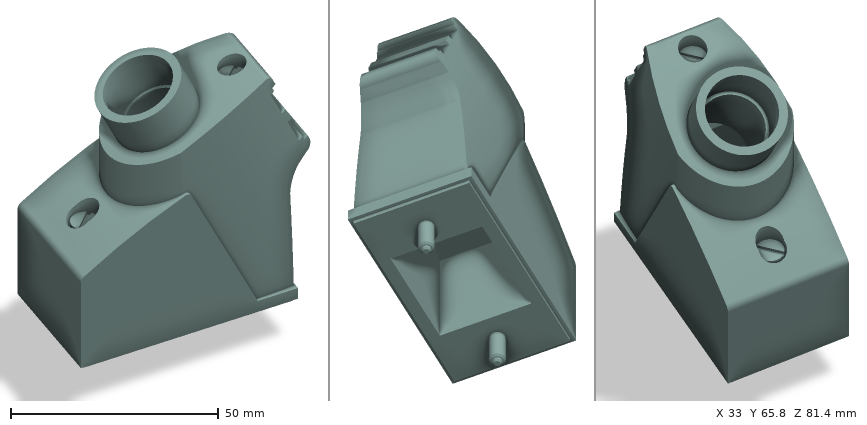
import math

import cadquery as cq

width = 33.0
foot_depth = 59.1
foot_height = 3.25
clear_height = 77.3
tilt = 25.0
tilt_sin = math.sin(math.radians(tilt))
tilt_cos = math.cos(math.radians(tilt))

front_height = 27.1
deck_radius = 159.6
step_foot_y = 48.1
step_top_z = 43.0
step_top_y = step_foot_y - (step_top_z - foot_height) * math.tan(math.radians(tilt))
front_edge_fillet = 2.0
step_top_fillet = 1.3

boss_radius = 16.0
boss_front_y = 15.55
boss_front_z = 48.8
boss_center_y = boss_front_y + boss_radius
roof_radius = 153.9
roof_end = (53.3, 64.55)
roof_edge_mid = (54.7, 64.5)
back_wall_y = 58.6
side_half_width = 15.6
side_radius = 93.6
side_reach = 40.7
prism_half_length = 97.7

face_top = (54.6, 59.75)
face_length = 18.2
rib_start = 7.3
rib_end = 10.9
inner_lip = 1.3
inner_lip_length = 1.2
outer_lip = 2.5
upper_lip_length = 3.4
lower_lip_length = 2.45
lip_nose = (65.7, 40.4)
lip_underside = (64.2, 38.9)
flare_start = (61.7, 37.05)
flare_mid = (59.7, 34.0)
flare_end_z = 30.1

outlet_top = (24.1, 66.4)
outlet_diameter = 22.6
outlet_length = 24.4
outlet_bore = 18.2
outlet_bore_depth = 12.2
inner_bore = 16.6
inner_bore_depth = 33.4

cavity_front_y = 16.3
cavity_back_y = 44.0
cavity_width = 24.4

plate_width = 30.9
plate_thickness = 1.0
plate_front_y = 1.3
plate_back_y = 58.1

screw_head_diameter = 7.1
screw_slot_width = 1.1
screw_slot_depth = 0.8
screw_slot_angle = -45.0
shank_diameter = 4.1
front_screw_y = 9.6
front_head_z = 30.3
front_tip_z = -10.2
back_screw_y = 49.7
back_head_z = 60.5
back_tip_z = -9.9
collar_diameter = 3.0
neck_diameter = 2.45
tip_diameter = 1.6
tip_stage = 0.5

relief_front_y = 5.1
relief_depth = 2.6
relief_rise = 6.5


def extrude_profile(wire, total_width):
    """Extrude a closed Y-Z outline symmetrically about X = 0."""
    return wire.close().extrude(total_width / 2, both=True)


def cylinder(center_y, bottom_z, top_z, diameter):
    """Upright cylinder on the X = 0 plane."""
    return (
        cq.Workplane("XY", origin=(0, center_y, bottom_z))
        .circle(diameter / 2)
        .extrude(top_z - bottom_z)
    )


def face_point(along, outward):
    """Y-Z point of the mating face: distance down the face and distance out of it."""
    y = face_top[0] + along * tilt_sin + outward * tilt_cos
    z = face_top[1] - along * tilt_cos + outward * tilt_sin
    return (y, z)


def tilted_cylinder(top, diameter, length):
    """Cylinder running down and back from a Y-Z point along the tilted axis."""
    plane = cq.Plane(
        origin=(0, top[0], top[1]), xDir=(1, 0, 0), normal=(0, tilt_sin, -tilt_cos)
    )
    return cq.Workplane(plane).circle(diameter / 2).extrude(length)


def make_lower_block():
    foot = extrude_profile(
        cq.Workplane("YZ").lineTo(foot_depth, 0).lineTo(foot_depth, foot_height)
        .lineTo(0, foot_height),
        width,
    )
    block = extrude_profile(
        cq.Workplane("YZ").lineTo(0, front_height)
        .radiusArc((step_top_y, step_top_z), deck_radius)
        .lineTo(step_foot_y, foot_height).lineTo(step_foot_y, 0),
        width,
    )
    front_edge = cq.selectors.NearestToPointSelector((0, 0, front_height))
    step_edge = cq.selectors.NearestToPointSelector((0, step_top_y, step_top_z))
    block = block.edges(front_edge).fillet(front_edge_fillet)
    block = block.edges(step_edge).fillet(step_top_fillet)
    return block.union(foot)


def make_upper_profile():
    lower_lip_end = face_length + lower_lip_length
    outline = (
        cq.Workplane("YZ").moveTo(boss_front_y, 0).lineTo(boss_front_y, boss_front_z)
        .radiusArc(roof_end, roof_radius)
        .threePointArc(roof_edge_mid, face_point(-upper_lip_length, outer_lip))
    )
    steps = [
        (-inner_lip_length, outer_lip), (-inner_lip_length, inner_lip),
        (0, inner_lip), (0, 0),
        (rib_start, 0), (rib_start, inner_lip), (rib_end, inner_lip), (rib_end, 0),
        (face_length, 0), (face_length, inner_lip),
        (face_length + inner_lip_length, inner_lip),
        (face_length + inner_lip_length, outer_lip),
        (lower_lip_end, outer_lip),
    ]
    for along, outward in steps:
        outline = outline.lineTo(*face_point(along, outward))
    outline = (
        outline.threePointArc(lip_nose, lip_underside).lineTo(*flare_start)
        .threePointArc(flare_mid, (back_wall_y, flare_end_z))
        .lineTo(back_wall_y, 0)
    )
    return extrude_profile(outline, width)


def make_side_prism():
    """Tilted prism whose sides start parallel at the step and curve inwards behind it."""
    inset = side_radius - math.sqrt(side_radius**2 - side_reach**2)
    back_half_width = side_half_width - inset
    plane = cq.Plane(
        origin=(0, step_foot_y, foot_height),
        xDir=(1, 0, 0),
        normal=(0, tilt_sin, -tilt_cos),
    )
    return (
        cq.Workplane(plane).moveTo(side_half_width, side_reach).lineTo(side_half_width, 0)
        .radiusArc((back_half_width, -side_reach), side_radius)
        .lineTo(-back_half_width, -side_reach)
        .radiusArc((-side_half_width, 0), side_radius)
        .lineTo(-side_half_width, side_reach).close()
        .extrude(prism_half_length, both=True)
    )


def make_upper_body():
    boss = cylinder(boss_center_y, 0, clear_height, 2 * boss_radius)
    rear = cq.Workplane("XY").box(width, foot_depth, clear_height, centered=(True, False, False))
    plan = boss.union(rear.translate((0, boss_center_y, 0)))
    return make_upper_profile().intersect(make_side_prism()).intersect(plan)


def make_cavity():
    """Pocket from below with a tilted roof that meets the end of the outlet bore."""
    bore_end_y = outlet_top[0] + inner_bore_depth * tilt_sin
    bore_end_z = outlet_top[1] - inner_bore_depth * tilt_cos

    def roof_z(y):
        return bore_end_z + (y - bore_end_y) * math.tan(math.radians(tilt))

    return extrude_profile(
        cq.Workplane("YZ").moveTo(cavity_front_y, -plate_thickness)
        .lineTo(cavity_back_y, -plate_thickness)
        .lineTo(cavity_back_y, roof_z(cavity_back_y))
        .lineTo(cavity_front_y, roof_z(cavity_front_y)),
        cavity_width,
    )


def make_screw_tip(center_y, tip_z):
    """Shank below the floor, ending in a chamfer, a neck and a small cone."""
    shoulder_z = tip_z + 3 * tip_stage
    half_profile = (
        cq.Workplane("XZ", origin=(0, center_y, 0))
        .lineTo(shank_diameter / 2, 0)
        .lineTo(shank_diameter / 2, shoulder_z)
        .lineTo(collar_diameter / 2, shoulder_z - tip_stage)
        .lineTo(neck_diameter / 2, shoulder_z - tip_stage)
        .lineTo(neck_diameter / 2, tip_z + tip_stage)
        .lineTo(tip_diameter / 2, tip_z)
        .lineTo(0, tip_z).close()
    )
    return half_profile.revolve(360, (0, 0, 0), (0, 1, 0))


def make_screw_access(center_y, head_z):
    """Round hole down to the screw head, plus the slot in the head."""
    hole = cylinder(center_y, head_z, clear_height, screw_head_diameter)
    slot = (
        cq.Workplane("XY", origin=(0, center_y, head_z))
        .transformed(rotate=(0, 0, screw_slot_angle))
        .rect(screw_head_diameter, screw_slot_width)
        .extrude(-screw_slot_depth)
        .intersect(cylinder(center_y, 0, head_z, screw_head_diameter))
    )
    return hole.union(slot)


def make_relief():
    """Crescent gap in front of the front screw head, cut along the tilted axis."""
    axis_y = relief_front_y + screw_head_diameter / 2 / tilt_cos
    start = (axis_y - relief_rise * tilt_sin, front_head_z + relief_rise * tilt_cos)
    tilted = tilted_cylinder(start, screw_head_diameter, relief_rise + relief_depth)
    front_half = (
        cq.Workplane("XY").box(width, front_screw_y, clear_height, centered=(True, False, False))
    )
    head = cylinder(front_screw_y, 0, front_head_z, screw_head_diameter)
    return tilted.intersect(front_half).cut(head)


plate = cq.Workplane("XY").box(
    plate_width, plate_back_y - plate_front_y, plate_thickness, centered=(True, False, False)
).translate((0, plate_front_y, -plate_thickness))

screws = [
    (front_screw_y, front_head_z, front_tip_z),
    (back_screw_y, back_head_z, back_tip_z),
]

result = make_lower_block().union(make_upper_body()).union(plate)
result = result.union(tilted_cylinder(outlet_top, outlet_diameter, outlet_length))
result = result.cut(tilted_cylinder(outlet_top, outlet_bore, outlet_bore_depth))
result = result.cut(tilted_cylinder(outlet_top, inner_bore, inner_bore_depth))
result = result.cut(make_cavity())
for screw_y, head_z, tip_z in screws:
    result = result.union(make_screw_tip(screw_y, tip_z))
    result = result.cut(make_screw_access(screw_y, head_z))
result = result.cut(make_relief())